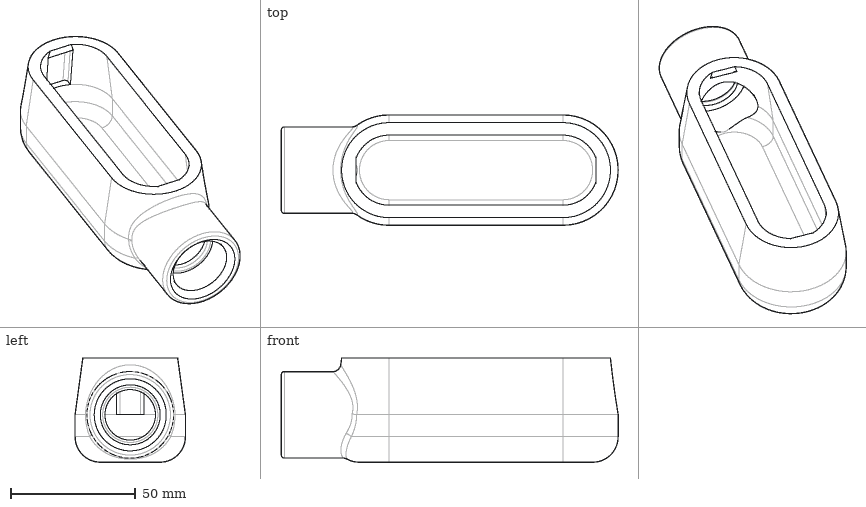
import cadquery as cq

overall_length = 135.8
overall_height = 42.1
body_radius = 22.3
rim_radius = 19.2
seam_height = 19.3
bottom_fillet = 10.3
rim_wall = 5.0
lower_wall = 5.7

hub_height = 19.2
hub_radius = 34.9 / 2
hub_lip_round = 1.2
hub_root_fillet = 3.1
mouth_radius = 14.5
bore_radius = 12.1
mouth_depth = mouth_radius - bore_radius
passage_radius = 10.2
passage_round = 1.0
bore_depth = 15.0
stop_thickness = 3.0
inner_bore_radius = 26.8 / 2

recess_half_width = 5.6
recess_corner_round = 1.5
recess_depth = 2.7
recess_top = 38.9

flat_reach = 13.3

center_distance = 70.1
right_center = overall_length - body_radius
left_center = right_center - center_distance
middle = (left_center + right_center) / 2
inner_radius = body_radius - lower_wall
inner_rim_radius = rim_radius - rim_wall


def tub(radius, top_radius, floor, fillet):
    """Obround with a rounded bottom, upright to the seam and tapered above it."""
    half_section = (
        cq.Workplane("XZ", origin=(left_center, 0, 0))
        .moveTo(0, floor)
        .lineTo(fillet - radius, floor)
        .radiusArc((-radius, floor + fillet), fillet)
        .lineTo(-radius, seam_height)
        .lineTo(-top_radius, overall_height)
        .lineTo(0, overall_height)
        .close()
    )
    left_end = half_section.revolve(360, (0, 0), (0, 1))
    right_end = left_end.translate((center_distance, 0, 0))
    straight = (
        cq.Workplane("YZ", origin=(left_center, 0, 0))
        .moveTo(fillet - radius, floor)
        .radiusArc((-radius, floor + fillet), fillet)
        .lineTo(-radius, seam_height)
        .lineTo(-top_radius, overall_height)
        .lineTo(top_radius, overall_height)
        .lineTo(radius, seam_height)
        .lineTo(radius, floor + fillet)
        .radiusArc((radius - fillet, floor), fillet)
        .close()
        .extrude(center_distance)
    )
    return left_end.union(straight).union(right_end)


def hub():
    """Round conduit hub along X with a rounded outer lip."""
    barrel = cq.Workplane("YZ", origin=(0, 0, hub_height)).circle(hub_radius).extrude(left_center)
    return barrel.faces("<X").edges().fillet(hub_lip_round)


def hub_bore():
    """Chamfered mouth, outer bore, rounded stop ring and a wider inner bore into the cavity."""
    profile = (
        cq.Workplane("XY", origin=(0, 0, hub_height))
        .moveTo(0, 0)
        .lineTo(0, mouth_radius)
        .lineTo(mouth_depth, bore_radius)
        .lineTo(bore_depth, bore_radius)
        .lineTo(bore_depth, passage_radius + passage_round)
        .radiusArc((bore_depth + passage_round, passage_radius), -passage_round)
        .lineTo(bore_depth + stop_thickness, passage_radius)
        .lineTo(bore_depth + stop_thickness, inner_bore_radius)
        .lineTo(left_center, inner_bore_radius)
        .lineTo(left_center, 0)
        .close()
    )
    return profile.revolve(360, (0, 0), (1, 0))


def end_recess():
    """Recess inside the far end wall, its back parallel to the tapered cavity wall."""
    taper = (inner_radius - inner_rim_radius) / (overall_height - seam_height)
    back_bottom = right_center + inner_radius + recess_depth
    back_top = back_bottom - taper * (recess_top - seam_height)
    block = cq.Workplane("XZ").polyline([
        (right_center, seam_height),
        (back_bottom, seam_height),
        (back_top, recess_top),
        (right_center, recess_top),
    ]).close().extrude(recess_half_width, both=True)
    back_corners = block.faces(">X").edges("not |Y")
    return back_corners.fillet(recess_corner_round)


def rim_flat(center, direction):
    """Flat lip just under the rim that squares off a round end of the opening."""
    depth = body_radius - flat_reach
    x_middle = center + direction * (flat_reach + depth / 2)
    return cq.Workplane("XY", origin=(x_middle, 0, recess_top)).box(
        depth, 2 * body_radius, overall_height - recess_top, centered=(True, True, False)
    )


outer = tub(body_radius, rim_radius, 0, bottom_fillet)
cavity = tub(inner_radius, inner_rim_radius, lower_wall, bottom_fillet - lower_wall)

blank = outer.union(hub())
root_box = cq.selectors.BoxSelector(
    (2 * hub_lip_round, -hub_radius - 1.4, 0.7),
    (left_center - 1.4, hub_radius + 1.4, overall_height - 1.4),
    boundingbox=True,
)
blank = blank.edges(root_box).fillet(hub_root_fillet)
cavity = cavity.cut(rim_flat(left_center, -1)).cut(rim_flat(right_center, 1))
result = blank.cut(cavity).cut(end_recess()).cut(hub_bore())